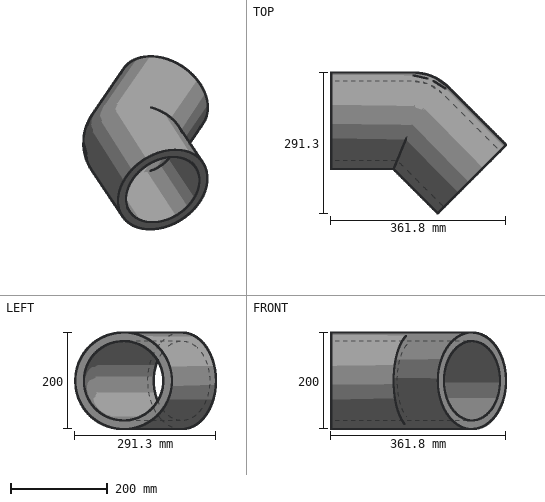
import cadquery as cq
import math

outer_diameter = 200.0
wall = 18.0
overall_length = 361.8
bend_angle = 45.0

outer_radius = outer_diameter / 2
inner_radius = outer_radius - wall

bend = math.radians(bend_angle)
leg_length = (overall_length - outer_radius * math.sin(bend)) / (1 + math.cos(bend))


def straight_leg(radius):
    """Solid cylinder from the open end at -X up to the bend centre."""
    return cq.Workplane("YZ").circle(radius).extrude(-leg_length)


def bend_wedge(radius):
    """Spherical wedge that fills the outside of the bend between the leg ends."""
    half_disc = (
        cq.Workplane("YZ")
        .moveTo(0, -radius)
        .threePointArc((radius, 0), (0, radius))
        .close()
    )
    return half_disc.revolve(bend_angle, (0, 0), (0, -1))


def elbow_body(radius):
    """Solid elbow of the given radius: mitred inside, rounded outside."""
    first_leg = straight_leg(radius)
    second_leg = first_leg.rotate((0, 0, 0), (0, 0, 1), 180 - bend_angle)
    return first_leg.union(second_leg).union(bend_wedge(radius))


result = elbow_body(outer_radius).cut(elbow_body(inner_radius))